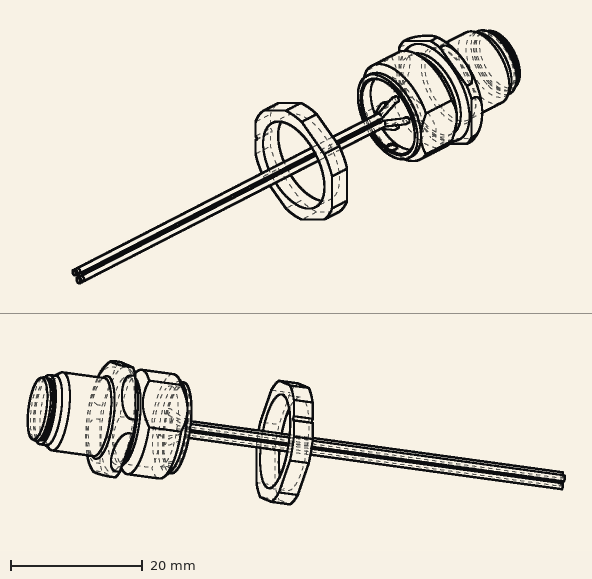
import cadquery as cq
import math


total_length = 83.95

tip_diameter = 9.8
neck_diameter = 9.5
tip_edge_drop = 0.2
tip_ridge_depth = 0.5
neck_start_depth = 0.9
collar_diameter = 10.7
collar_start_depth = 1.2
collar_end_depth = 2.2
barrel_diameter = 12.0
barrel_start_depth = 3.2
barrel_end_depth = 9.8
barrel_flare = 0.3

flange_start_depth = 10.2
flange_end_depth = 12.85
flange_across_flats = 16.95
flange_diameter = 18.5
flange_rounding = 2.0

seal_diameter = 16.0
seal_section_diameter = 1.6

relief_diameter = 13.5
relief_end_depth = 14.3
thread_diameter = 16.0
thread_end_depth = 20.65
rear_diameter = 14.0
rear_depth = 22.3
thread_chamfer = (thread_diameter - rear_diameter) / 2
thread_start_depth = relief_end_depth + (thread_diameter - relief_diameter) / 2
rear_bore_diameter = 12.3
bore_chamfer = 0.2
rear_bore_length = 1.85
bore_floor_depth = rear_depth - rear_bore_length

recess_diameter = 1.6
recess_axis_depth = (bore_floor_depth + rear_depth) / 2
recess_depth = 0.25

wire_count = 4
wire_diameter = 0.9
wire_exit_radius = 2.5
wire_bundle_radius = 0.9
wire_stub_length = 0.6
wire_straight_depth = 23.8
wire_root_length = 0.8

nut_across_flats = 18.0
nut_corner_diameter = 19.0
nut_hole_diameter = 14.35
nut_start_depth = 38.0
nut_thickness = 3.0
nut_notch_radius = 0.3

hex_sides = 6


def section_plane(depth):
    """Plane across the axis at a depth; extrusions go toward -Y, local x is X, local y is Z."""
    return cq.Workplane("XZ", origin=(0, -depth, 0))


def hex_prism(depth, across_flats, thickness):
    """Hexagonal prism with two of its flats facing +X and -X."""
    corner_diameter = across_flats / math.cos(math.pi / hex_sides)
    return (
        section_plane(depth)
        .transformed(rotate=(0, 0, 180 / hex_sides))
        .polygon(hex_sides, corner_diameter)
        .extrude(thickness)
    )


def make_plug():
    """Stepped plug from its tip to the face of the flange."""
    tip_radius = tip_diameter / 2
    neck_radius = neck_diameter / 2
    collar_radius = collar_diameter / 2
    barrel_radius = barrel_diameter / 2
    profile = [
        (0, 0),
        (tip_radius - tip_edge_drop, 0),
        (tip_radius, -tip_ridge_depth),
        (neck_radius, -neck_start_depth),
        (neck_radius, -collar_start_depth),
        (collar_radius, -collar_start_depth),
        (collar_radius, -collar_end_depth),
        (barrel_radius, -barrel_start_depth),
        (barrel_radius, -barrel_end_depth),
        (barrel_radius + barrel_flare, -flange_start_depth),
        (0, -flange_start_depth),
    ]
    return cq.Workplane("XY").polyline(profile).close().revolve(360, (0, 0, 0), (0, 1, 0))


def make_flange():
    """Hexagon whose corners are turned round and whose front edge is rounded over."""
    thickness = flange_end_depth - flange_start_depth
    turned_blank = (
        section_plane(flange_start_depth)
        .circle(flange_diameter / 2)
        .extrude(thickness)
        .faces(">Y")
        .edges()
        .fillet(flange_rounding)
    )
    return hex_prism(flange_start_depth, flange_across_flats, thickness).intersect(turned_blank)


def make_seal():
    """Torus centred on the back face of the flange."""
    section_radius = seal_section_diameter / 2
    ring_radius = seal_diameter / 2 - section_radius
    return (
        cq.Workplane("XY")
        .moveTo(ring_radius, -flange_end_depth)
        .circle(section_radius)
        .revolve(360, (0, 0, 0), (0, 1, 0))
    )


def make_rear_section():
    """Thread relief, threaded length with two side flats, and an open rear bore."""
    relief_radius = relief_diameter / 2
    thread_radius = thread_diameter / 2
    rear_radius = rear_diameter / 2
    profile = [
        (0, -flange_end_depth),
        (relief_radius, -flange_end_depth),
        (relief_radius, -relief_end_depth),
        (thread_radius, -thread_start_depth),
        (thread_radius, -thread_end_depth),
        (rear_radius, -thread_end_depth - thread_chamfer),
        (rear_radius, -rear_depth),
        (0, -rear_depth),
    ]
    turned = cq.Workplane("XY").polyline(profile).close().revolve(360, (0, 0, 0), (0, 1, 0))
    length = rear_depth - flange_end_depth
    flat_limits = section_plane(flange_end_depth).rect(rear_diameter, thread_diameter).extrude(length)
    bore = section_plane(bore_floor_depth).circle(rear_bore_diameter / 2).extrude(rear_bore_length)
    open_end = turned.intersect(flat_limits).cut(bore)
    bore_rim = open_end.faces("<Y").edges(cq.selectors.RadiusNthSelector(0))
    recess = (
        cq.Workplane("XY", origin=(0, -recess_axis_depth, 0))
        .circle(recess_diameter / 2)
        .extrude(-rear_bore_diameter / 2 - recess_depth)
    )
    return bore_rim.chamfer(bore_chamfer).cut(recess)


def make_wire():
    """Wire that leaves the bore floor, slants toward the axis and then runs straight back."""
    path = cq.Workplane("XY").polyline([
        (wire_exit_radius, wire_root_length - bore_floor_depth),
        (wire_exit_radius, -bore_floor_depth - wire_stub_length),
        (wire_bundle_radius, -wire_straight_depth),
        (wire_bundle_radius, -total_length),
    ])
    return (
        section_plane(bore_floor_depth - wire_root_length)
        .center(wire_exit_radius, 0)
        .circle(wire_diameter / 2)
        .sweep(path, transition="round")
    )


def make_connector():
    """Housing, flange, seal and wires joined into one solid."""
    connector = make_plug().union(make_flange()).union(make_rear_section()).union(make_seal())
    wire = make_wire()
    for index in range(wire_count):
        connector = connector.union(wire.rotate((0, 0, 0), (0, 1, 0), index * 360 / wire_count))
    return connector


def make_lock_nut():
    """Hexagonal nut with turned corners, a plain hole and a small notch in its -X flat."""
    turned_blank = section_plane(nut_start_depth).circle(nut_corner_diameter / 2).extrude(nut_thickness)
    hole = section_plane(nut_start_depth).circle(nut_hole_diameter / 2).extrude(nut_thickness)
    notch = (
        section_plane(nut_start_depth)
        .center(-nut_across_flats / 2, 0)
        .circle(nut_notch_radius)
        .extrude(nut_thickness)
    )
    nut = hex_prism(nut_start_depth, nut_across_flats, nut_thickness)
    return nut.intersect(turned_blank).cut(hole).cut(notch)


connector = make_connector()
lock_nut = make_lock_nut()

result = cq.Compound.makeCompound([connector.val(), lock_nut.val()])